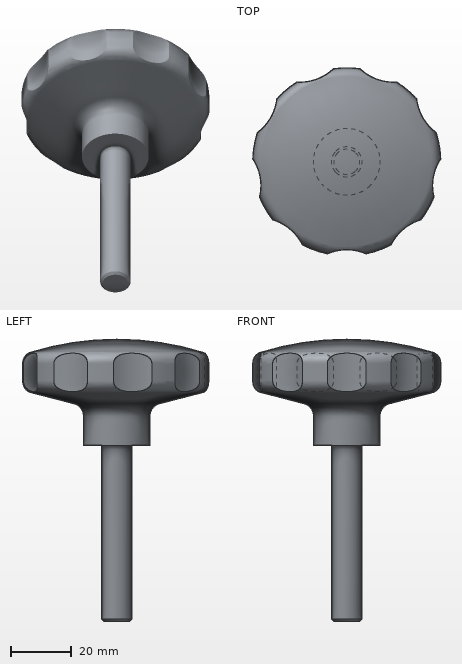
import cadquery as cq
import math


stem_radius = 5.0
stem_length = 58.0
stem_chamfer = 0.8

hub_radius = 11.0
neck_fillet_radius = 4.0

head_radius = 31.0
head_height = 35.0
rim_band_top = 27.0
rim_band_bottom = 21.15
rim_round_radius = 3.9
underside_slope = math.radians(14.5)

scallop_count = 9
first_scallop_angle = math.radians(-90)
scallop_floor_radius = 29.0
scallop_radius = 16.0


def point_on_circle(center, radius, angle):
    """Point (x, z) on a circle, with the angle measured from the +X direction."""
    return (center[0] + radius * math.cos(angle), center[1] + radius * math.sin(angle))


def make_head_and_hub():
    """Revolve the dome, rounded rim, sloped underside, neck fillet and hub."""
    quarter_turn = math.pi / 2
    round_center_x = head_radius - rim_round_radius
    lower_center = (round_center_x, rim_band_bottom)
    upper_center = (round_center_x, rim_band_top)

    lower_end_angle = underside_slope - quarter_turn
    lower_end = point_on_circle(lower_center, rim_round_radius, lower_end_angle)
    lower_mid = point_on_circle(lower_center, rim_round_radius, lower_end_angle / 2)

    pole_drop = head_height - rim_band_top
    dome_radius = (round_center_x**2 + pole_drop**2 - rim_round_radius**2) / (
        2 * (pole_drop - rim_round_radius)
    )
    dome_center = (0, head_height - dome_radius)
    upper_end_angle = math.acos(round_center_x / (dome_radius - rim_round_radius))
    upper_end = point_on_circle(upper_center, rim_round_radius, upper_end_angle)
    upper_mid = point_on_circle(upper_center, rim_round_radius, upper_end_angle / 2)
    dome_mid = point_on_circle(dome_center, dome_radius, (upper_end_angle + quarter_turn) / 2)

    neck_center_x = hub_radius + neck_fillet_radius
    neck_end_angle = quarter_turn + underside_slope
    neck_end_x = neck_center_x + neck_fillet_radius * math.cos(neck_end_angle)
    neck_end_z = lower_end[1] - (lower_end[0] - neck_end_x) * math.tan(underside_slope)
    neck_center = (neck_center_x, neck_end_z - neck_fillet_radius * math.sin(neck_end_angle))
    neck_mid = point_on_circle(neck_center, neck_fillet_radius, (neck_end_angle + math.pi) / 2)

    profile = (
        cq.Workplane("XZ")
        .lineTo(hub_radius, 0)
        .lineTo(hub_radius, neck_center[1])
        .threePointArc(neck_mid, (neck_end_x, neck_end_z))
        .lineTo(*lower_end)
        .threePointArc(lower_mid, (head_radius, rim_band_bottom))
        .lineTo(head_radius, rim_band_top)
        .threePointArc(upper_mid, upper_end)
        .threePointArc(dome_mid, (0, head_height))
        .close()
    )
    return profile.revolve(360, (0, 0, 0), (0, 1, 0))


def make_stem():
    """Plain round stem below the hub with a chamfered tip."""
    return (
        cq.Workplane("XY")
        .circle(stem_radius)
        .extrude(-stem_length)
        .faces("<Z")
        .chamfer(stem_chamfer)
    )


def cut_scallops(knob):
    """Cut the finger scallops with vertical cylinders spaced evenly around the rim."""
    axis_distance = scallop_floor_radius + scallop_radius
    for index in range(scallop_count):
        angle = first_scallop_angle + index * 2 * math.pi / scallop_count
        cutter = (
            cq.Workplane("XY")
            .center(axis_distance * math.cos(angle), axis_distance * math.sin(angle))
            .circle(scallop_radius)
            .extrude(head_height)
        )
        knob = knob.cut(cutter)
    return knob


result = cut_scallops(make_head_and_hub()).union(make_stem())